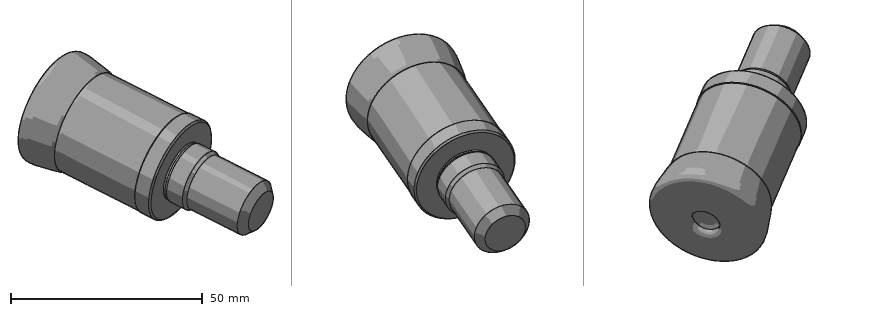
import cadquery as cq
import math

TOTAL_LENGTH = 68.0

CAP_RADIUS = 16.0
CAP_FACE_RADIUS = 7.5
CAP_SHOULDER_X = 1.3
CAP_SHOULDER_RADIUS = 14.4
RIM_BULGE_X = 2.0
RIM_BULGE_RADIUS = 15.6
RIM_START_X = 3.3
CREST_MIDDLE_X = 4.15
TAPER_START_X = 4.95
TAPER_START_RADIUS = 15.9
TAPER_MIDDLE_X = 8.85
TAPER_MIDDLE_RADIUS = 15.3
TAPER_END_X = 11.75
TAPER_END_RADIUS = 14.7
CAP_LENGTH = 12.5
CAP_BACK_RADIUS = 14.35

RECESS_RADIUS = 7.75 / 2
RECESS_MOUTH_RADIUS = 11.75 / 2
RECESS_MOUTH_DEPTH = 1.35
RECESS_WALL_DEPTH = 2.05
RECESS_CONE_DEPTH = 2.45
RECESS_CONE_RADIUS = 5.65 / 2
RECESS_DEPTH = 2.5
RECESS_FLOOR_RADIUS = 4.35 / 2

SLEEVE_RADIUS = 28.6 / 2
SLEEVE_LEAD_LENGTH = 0.8
SLEEVE_LEAD_DROP = 0.1
FLANGE_RADIUS = 29.0 / 2
FLANGE_START_X = 37.9
FLANGE_STEP_CHAMFER = 0.2
FLANGE_END_X = 42.85
FLANGE_CHAMFER = 0.5
NECK_RADIUS = 16.6 / 2
NECK_END_X = 43.4
COLLAR_RADIUS = 17.0 / 2
COLLAR_START_X = 44.0
COLLAR_END_X = 48.95
STEM_RADIUS = 15.8 / 2
STEM_START_X = 50.0
STEM_CHAMFER = 2.1


def revolve_about_x(profile):
    return profile.close().revolve(360, (0, 0, 0), (1, 0, 0))


def recess():
    """Cutter for the recess; its mouth bulges like a quarter of an ellipse."""
    inward = (0, -1)
    along_wall = (1, 0)
    bulge = 1 - math.cos(math.radians(45))
    mouth_middle = (
        RECESS_MOUTH_DEPTH * bulge,
        RECESS_RADIUS + (RECESS_MOUTH_RADIUS - RECESS_RADIUS) * bulge,
    )
    return revolve_about_x(
        cq.Workplane("XY")
        .lineTo(0, RECESS_MOUTH_RADIUS)
        .spline(
            [mouth_middle, (RECESS_MOUTH_DEPTH, RECESS_RADIUS)],
            tangents=[inward, along_wall],
            includeCurrent=True,
        )
        .lineTo(RECESS_WALL_DEPTH, RECESS_RADIUS)
        .lineTo(RECESS_CONE_DEPTH, RECESS_CONE_RADIUS)
        .lineTo(RECESS_DEPTH, RECESS_FLOOR_RADIUS)
        .lineTo(RECESS_DEPTH, 0)
    )


def make_cap():
    blank = revolve_about_x(
        cq.Workplane("XY")
        .lineTo(0, CAP_FACE_RADIUS)
        .lineTo(CAP_SHOULDER_X, CAP_SHOULDER_RADIUS)
        .threePointArc((RIM_BULGE_X, RIM_BULGE_RADIUS), (RIM_START_X, CAP_RADIUS))
        .spline(
            [(CREST_MIDDLE_X, CAP_RADIUS), (TAPER_START_X, TAPER_START_RADIUS)],
            includeCurrent=True,
        )
        .threePointArc(
            (TAPER_MIDDLE_X, TAPER_MIDDLE_RADIUS),
            (TAPER_END_X, TAPER_END_RADIUS),
        )
        .lineTo(CAP_LENGTH, CAP_BACK_RADIUS)
        .lineTo(CAP_LENGTH, 0)
    )
    return blank.cut(recess())


def make_body():
    return revolve_about_x(
        cq.Workplane("XY")
        .moveTo(CAP_LENGTH, 0)
        .lineTo(CAP_LENGTH, SLEEVE_RADIUS - SLEEVE_LEAD_DROP)
        .lineTo(CAP_LENGTH + SLEEVE_LEAD_LENGTH, SLEEVE_RADIUS)
        .lineTo(FLANGE_START_X, SLEEVE_RADIUS)
        .lineTo(FLANGE_START_X + FLANGE_STEP_CHAMFER, FLANGE_RADIUS)
        .lineTo(FLANGE_END_X - FLANGE_CHAMFER, FLANGE_RADIUS)
        .lineTo(FLANGE_END_X, FLANGE_RADIUS - FLANGE_CHAMFER)
        .lineTo(FLANGE_END_X, NECK_RADIUS)
        .lineTo(NECK_END_X, NECK_RADIUS)
        .lineTo(COLLAR_START_X, COLLAR_RADIUS)
        .lineTo(COLLAR_END_X, COLLAR_RADIUS)
        .lineTo(STEM_START_X, STEM_RADIUS)
        .lineTo(TOTAL_LENGTH - STEM_CHAMFER, STEM_RADIUS)
        .lineTo(TOTAL_LENGTH, STEM_RADIUS - STEM_CHAMFER)
        .lineTo(TOTAL_LENGTH, 0)
    )


cap = make_cap()
body = make_body()
result = cq.Compound.makeCompound([cap.val(), body.val()])